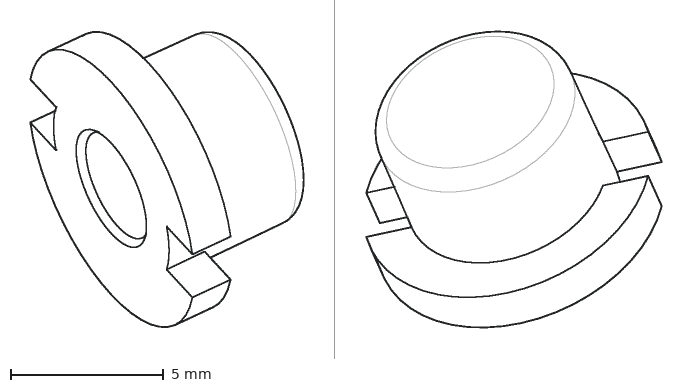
import cadquery as cq
import math


flange_radius = 4.945
flange_thickness = 1.5

overall_length = 5.75
stem_root_radius = 3.45
stem_end_radius = 3.41
shoulder_radius = 0.6
dome_radius = 25.0

recess_mouth_radius = 2.1
recess_floor_radius = 1.9
recess_depth = 0.25

notch_width = 2.0


def make_flange():
    """Disc from Y = 0 to the flange thickness."""
    return cq.Workplane("XZ").circle(flange_radius).extrude(-flange_thickness)


def make_stem():
    """Revolved stem; the shoulder arc runs tangent to the dome."""
    shoulder_center_x = stem_end_radius - shoulder_radius
    dome_center_y = overall_length - dome_radius
    lean = math.asin(shoulder_center_x / (dome_radius - shoulder_radius))
    shoulder_center_y = dome_center_y + (dome_radius - shoulder_radius) * math.cos(lean)

    def on_shoulder(angle):
        return (
            shoulder_center_x + shoulder_radius * math.cos(angle),
            shoulder_center_y + shoulder_radius * math.sin(angle),
        )

    shoulder_end_angle = math.pi / 2 - lean
    dome_middle = (
        dome_radius * math.sin(lean / 2),
        dome_center_y + dome_radius * math.cos(lean / 2),
    )
    return (
        cq.Workplane("XY")
        .lineTo(stem_root_radius, 0)
        .lineTo(*on_shoulder(0))
        .threePointArc(on_shoulder(shoulder_end_angle / 2), on_shoulder(shoulder_end_angle))
        .threePointArc(dome_middle, (0, overall_length))
        .close()
        .revolve(360, (0, 0, 0), (0, 1, 0))
    )


def make_notch_bar():
    """Bar right across the flange; the stem fills its middle again."""
    return cq.Workplane("XZ").rect(2 * flange_radius, notch_width).extrude(-flange_thickness)


def make_recess():
    """Truncated cone, narrowing from the flange face to the recess floor."""
    return (
        cq.Workplane("XY")
        .lineTo(recess_mouth_radius, 0)
        .lineTo(recess_floor_radius, recess_depth)
        .lineTo(0, recess_depth)
        .close()
        .revolve(360, (0, 0, 0), (0, 1, 0))
    )


result = make_flange().cut(make_notch_bar()).union(make_stem()).cut(make_recess())